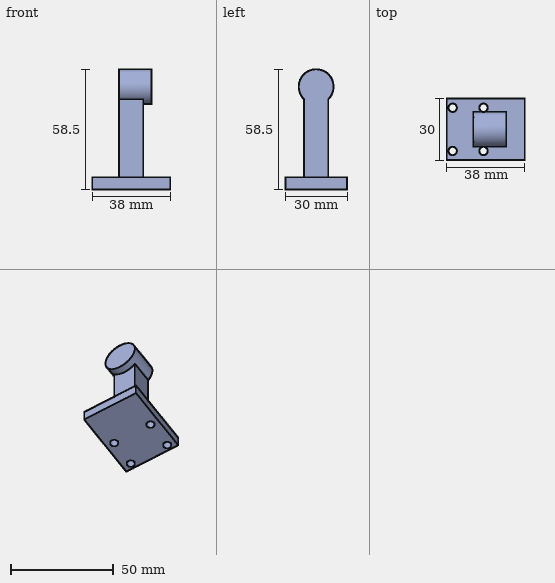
import cadquery as cq

plate_length = 38.0
plate_width = 30.0
plate_thickness = 6.0

hole_diameter = 4.0
hole_edge_distance = 3.0
hole_spacing_x = 15.0
hole_spacing_y = 21.0

total_height = 58.5
post_side = 12.0
head_diameter = 17.0
head_length = 15.95
head_axis_height = total_height - head_diameter / 2


def make_plate():
    """Flat plate with four through holes."""
    pattern_center_x = -plate_length / 2 + hole_edge_distance + hole_spacing_x / 2
    return (
        cq.Workplane("XY")
        .box(plate_length, plate_width, plate_thickness, centered=(True, True, False))
        .faces(">Z")
        .workplane(origin=(pattern_center_x, 0, plate_thickness))
        .rect(hole_spacing_x, hole_spacing_y, forConstruction=True)
        .vertices()
        .hole(hole_diameter)
    )


def make_post():
    """Square post running from the plate up to the head axis."""
    return (
        cq.Workplane("XY")
        .workplane(offset=plate_thickness)
        .rect(post_side, post_side)
        .extrude(head_axis_height - plate_thickness)
    )


def make_head():
    """Cylinder along X, flush with the -X face of the post."""
    return (
        cq.Workplane("YZ", origin=(-post_side / 2, 0, head_axis_height))
        .circle(head_diameter / 2)
        .extrude(head_length)
    )


result = make_plate().union(make_post()).union(make_head())